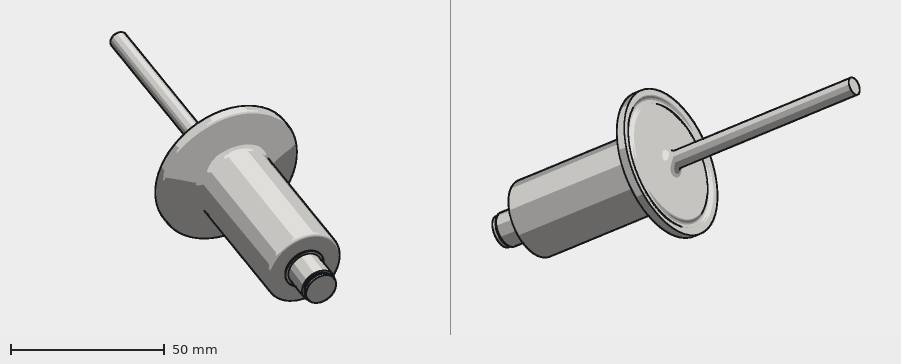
import cadquery as cq
import math

total_length = 143.2

rod_radius = 6.0 / 2
rod_flare = rod_radius

flange_radius = 50.5 / 2
flange_face_x = 74.6
flange_rim_width = 2.6
rim_rounding = 1.0
cone_angle = math.radians(20)

body_radius = 27.0 / 2
body_end_x = 131.2
body_fillet = 2.0
body_end_rounding = 1.0

collar_radius = 14.0 / 2
collar_length = 0.5
plug_radius = 12.0 / 2
plug_end_x = 141.2
neck_radius = 10.5 / 2
neck_length = 0.7
tip_radius = 11.0 / 2

groove_center_radius = 21.5
groove_half_width = 1.9
groove_arc_half_width = 1.1
groove_arc_radius = 1.3


def cylinder(start_x, end_x, radius):
    return cq.Workplane("YZ", origin=(start_x, 0, 0)).circle(radius).extrude(end_x - start_x)


def revolve_about_x(profile):
    return profile.close().revolve(360, (0, 0, 0), (1, 0, 0))


def make_rod():
    """Probe rod whose root widens in a quarter-circle flare."""
    flare_start_x = flange_face_x - rod_flare
    diagonal = rod_flare * math.sqrt(0.5)
    flare_middle = (flare_start_x + diagonal, rod_radius + rod_flare - diagonal)
    return revolve_about_x(
        cq.Workplane("XY")
        .lineTo(0, rod_radius)
        .lineTo(flare_start_x, rod_radius)
        .threePointArc(flare_middle, (flange_face_x, rod_radius + rod_flare))
        .lineTo(flange_face_x, 0)
    )


def make_flange_and_body():
    """Flange, cone and housing with their three rounded edges."""
    rounding_tangent = rim_rounding * math.tan((math.pi / 2 - cone_angle) / 2)
    cone_start_x = flange_face_x + flange_rim_width + rounding_tangent
    cone_end_x = cone_start_x + (flange_radius - body_radius) * math.tan(cone_angle)
    blank = revolve_about_x(
        cq.Workplane("XY")
        .moveTo(flange_face_x, 0)
        .lineTo(flange_face_x, flange_radius)
        .lineTo(cone_start_x, flange_radius)
        .lineTo(cone_end_x, body_radius)
        .lineTo(body_end_x, body_radius)
        .lineTo(body_end_x, 0)
    )

    def round_edge(solid, x, radius, rounding):
        margin = 0.01
        edge_slab = cq.selectors.BoxSelector(
            (x - margin, -radius - margin, -radius - margin),
            (x + margin, radius + margin, radius + margin),
            boundingbox=True,
        )
        return solid.edges("%CIRCLE").edges(edge_slab).fillet(rounding)

    blank = round_edge(blank, cone_start_x, flange_radius, rim_rounding)
    blank = round_edge(blank, cone_end_x, body_radius, body_fillet)
    return round_edge(blank, body_end_x, body_radius, body_end_rounding)


def make_connector():
    """Collar, plug, narrow neck and tip ring."""
    collar = cylinder(body_end_x, body_end_x + collar_length, collar_radius)
    plug = cylinder(body_end_x, plug_end_x, plug_radius)
    neck_end_x = plug_end_x + neck_length
    neck = cylinder(plug_end_x, neck_end_x, neck_radius)
    tip = cylinder(neck_end_x, total_length, tip_radius)
    return collar.union(plug).union(neck).union(tip)


def make_gasket_groove():
    """Ring removed from the flange face."""
    slope = math.asin(groove_arc_half_width / groove_arc_radius)
    lip_radius = (groove_half_width - groove_arc_half_width) / math.sin(slope)
    lip_depth = lip_radius * (1 - math.cos(slope))
    depth = lip_depth + groove_arc_radius * (1 - math.cos(slope))
    lip_middle_depth = lip_radius * (1 - math.cos(slope / 2))
    lip_middle_offset = groove_half_width - lip_radius * math.sin(slope / 2)

    def point(offset, sunk):
        return (flange_face_x + sunk, groove_center_radius + offset)

    return revolve_about_x(
        cq.Workplane("XY")
        .moveTo(*point(-groove_half_width, 0))
        .threePointArc(point(-lip_middle_offset, lip_middle_depth), point(-groove_arc_half_width, lip_depth))
        .threePointArc(point(0, depth), point(groove_arc_half_width, lip_depth))
        .threePointArc(point(lip_middle_offset, lip_middle_depth), point(groove_half_width, 0))
    )


result = make_flange_and_body().cut(make_gasket_groove()).union(make_rod()).union(make_connector())